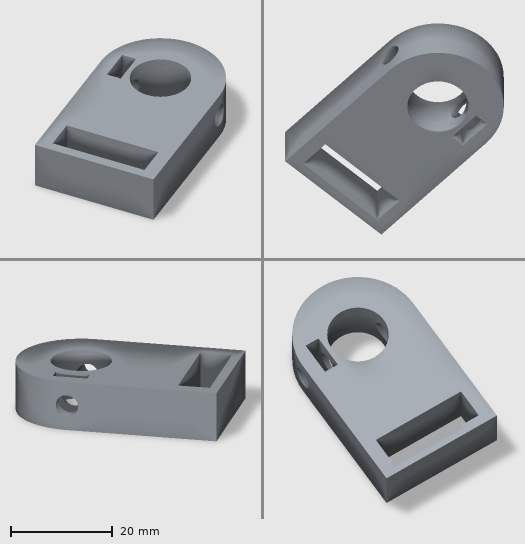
import cadquery as cq

width = 25.9
thickness = 10.0
end_radius = width / 2
straight_length = 30.2

bore_diameter = 12.1
cross_hole_diameter = 4.5

nut_slot_width = 3.0
nut_slot_length = 7.0

strap_slot_width = 20.0
strap_slot_length = 6.4
flat_end_wall = 2.0

slot_left_x = -strap_slot_width / 2


def make_body():
    """Plate outline with the bore axis at the XY origin and its base at Z = 0."""
    return (
        cq.Workplane("XY")
        .moveTo(-end_radius, 0)
        .lineTo(-end_radius, -straight_length)
        .lineTo(end_radius, -straight_length)
        .lineTo(end_radius, 0)
        .threePointArc((0, end_radius), (-end_radius, 0))
        .close()
        .extrude(thickness)
    )


def make_bore():
    """Vertical through bore."""
    return cq.Workplane("XY").circle(bore_diameter / 2).extrude(thickness)


def make_slot(size_x, size_y, left_x, center_y):
    """Rectangular through slot placed by its -X side and its middle in Y."""
    center_x = left_x + size_x / 2
    return cq.Workplane("XY").center(center_x, center_y).rect(size_x, size_y).extrude(thickness)


def make_cross_hole():
    """Hole along X through both walls at mid-thickness, meeting the bore axis."""
    return (
        cq.Workplane("YZ")
        .center(0, thickness / 2)
        .circle(cross_hole_diameter / 2)
        .extrude(end_radius, both=True)
    )


strap_slot_y = -straight_length + flat_end_wall + strap_slot_length / 2

result = (
    make_body()
    .cut(make_bore())
    .cut(make_slot(nut_slot_width, nut_slot_length, slot_left_x, 0))
    .cut(make_slot(strap_slot_width, strap_slot_length, slot_left_x, strap_slot_y))
    .cut(make_cross_hole())
)